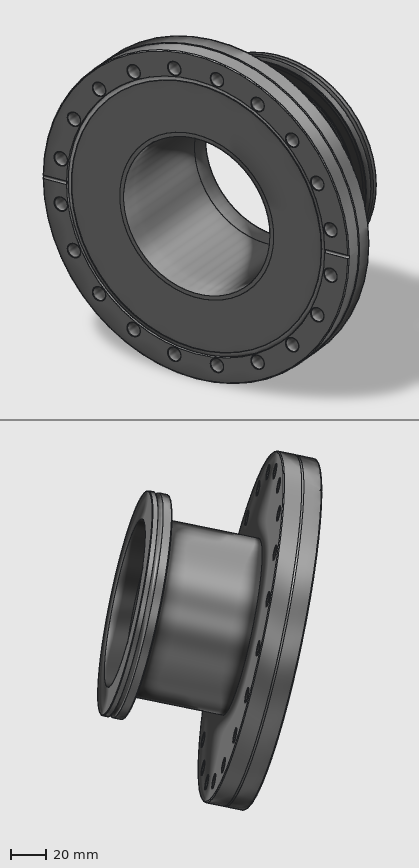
import cadquery as cq
flange_diameter = 203.0
flange_thickness = 22.5
flange_chamfer = 0.6
recess_diameter = 171.3
recess_depth = 1.8
knife_tip_diameter = 165.9
knife_tip_depth = 0.6
sealing_face_depth = 1.2
rim_groove_width = 1.2
rim_groove_depth = 0.2
rim_groove_center = flange_thickness / 2

bolt_count = 20
bolt_hole_diameter = 8.3
bolt_circle_diameter = 181.0
bolt_hole_chamfer = 0.3
leak_groove_width = 2.0

tube_diameter = 102.1
bore_diameter = 97.0

overall_length = 90.0
clamp_diameter = 130.0
clamp_thickness = 12.0
clamp_chamfer = 0.5
raised_face_diameter = 126.3
raised_face_height = 0.5
seal_groove_width = 3.0
seal_groove_from_end = 4.9
claw_groove_outer_diameter = 116.1
claw_groove_inner_diameter = 112.5
claw_groove_depth = 1.6
claw_groove_chamfer = 0.6

clamp_start = overall_length - clamp_thickness


def revolve_about_y(outline):
    """Revolve a closed outline, drawn as (radius, y), about the Y axis."""
    return outline.revolve(360, (0, 0, 0), (0, 1, 0))


def knife_edge_flange():
    rim = flange_diameter / 2
    bore = tube_diameter / 2
    outline = (
        cq.Workplane("XY")
        .moveTo(bore, sealing_face_depth)
        .lineTo(knife_tip_diameter / 2, sealing_face_depth)
        .lineTo(knife_tip_diameter / 2, knife_tip_depth)
        .lineTo(recess_diameter / 2, recess_depth)
        .lineTo(recess_diameter / 2, 0)
        .lineTo(rim - flange_chamfer, 0)
        .lineTo(rim, flange_chamfer)
        .lineTo(rim, rim_groove_center - rim_groove_width / 2)
        .threePointArc(
            (rim - rim_groove_depth, rim_groove_center),
            (rim, rim_groove_center + rim_groove_width / 2),
        )
        .lineTo(rim, flange_thickness - flange_chamfer)
        .lineTo(rim - flange_chamfer, flange_thickness)
        .lineTo(bore, flange_thickness)
        .close()
    )
    body = revolve_about_y(outline)
    for cutter in bolt_holes() + leak_grooves():
        body = body.cut(cutter)
    return body


def bolt_holes():
    """Cutters for the through holes, chamfered at both ends; two of them straddle the +X axis."""
    hole_radius = bolt_hole_diameter / 2
    mouth_radius = hole_radius + bolt_hole_chamfer
    cutter = revolve_about_y(
        cq.Workplane("XY")
        .lineTo(mouth_radius, 0)
        .lineTo(hole_radius, bolt_hole_chamfer)
        .lineTo(hole_radius, flange_thickness - bolt_hole_chamfer)
        .lineTo(mouth_radius, flange_thickness)
        .lineTo(0, flange_thickness)
        .close()
    ).translate((bolt_circle_diameter / 2, 0, 0))
    pitch_angle = 360 / bolt_count
    return [
        cutter.rotate((0, 0, 0), (0, 1, 0), (index + 0.5) * pitch_angle)
        for index in range(bolt_count)
    ]


def leak_grooves():
    """Round-bottomed cutters that run from the recess to the rim on the -X and +X sides."""
    recess_radius = recess_diameter / 2
    length = flange_diameter / 2 - recess_radius
    return [
        cq.Workplane("YZ", origin=(start, 0, 0)).circle(leak_groove_width / 2).extrude(length)
        for start in (-flange_diameter / 2, recess_radius)
    ]


def connecting_tube():
    """Tube that fills the knife-edge flange's bore and butts against the clamp flange."""
    return (
        cq.Workplane("XZ", origin=(0, sealing_face_depth, 0))
        .circle(tube_diameter / 2)
        .circle(bore_diameter / 2)
        .extrude(sealing_face_depth - clamp_start)
    )


def clamp_flange():
    rim = clamp_diameter / 2
    bore = bore_diameter / 2
    rim_start = clamp_start + raised_face_height
    seal_groove_center = overall_length - seal_groove_from_end
    seal_groove_radius = seal_groove_width / 2
    claw_groove_floor = clamp_start + claw_groove_depth
    claw_groove_wall = claw_groove_inner_diameter / 2
    outline = (
        cq.Workplane("XY")
        .moveTo(bore, clamp_start)
        .lineTo(claw_groove_wall - claw_groove_chamfer, clamp_start)
        .lineTo(claw_groove_wall, clamp_start + claw_groove_chamfer)
        .lineTo(claw_groove_wall, claw_groove_floor)
        .lineTo(claw_groove_outer_diameter / 2, claw_groove_floor)
        .lineTo(claw_groove_outer_diameter / 2, clamp_start)
        .lineTo(raised_face_diameter / 2, clamp_start)
        .lineTo(raised_face_diameter / 2, rim_start)
        .lineTo(rim - clamp_chamfer, rim_start)
        .lineTo(rim, rim_start + clamp_chamfer)
        .lineTo(rim, seal_groove_center - seal_groove_radius)
        .threePointArc(
            (rim - seal_groove_radius, seal_groove_center),
            (rim, seal_groove_center + seal_groove_radius),
        )
        .lineTo(rim, overall_length - clamp_chamfer)
        .lineTo(rim - clamp_chamfer, overall_length)
        .lineTo(bore, overall_length)
        .close()
    )
    return revolve_about_y(outline)


flange = knife_edge_flange()
tube = connecting_tube()
clamp = clamp_flange()

result = cq.Compound.makeCompound([flange.val(), tube.val(), clamp.val()])